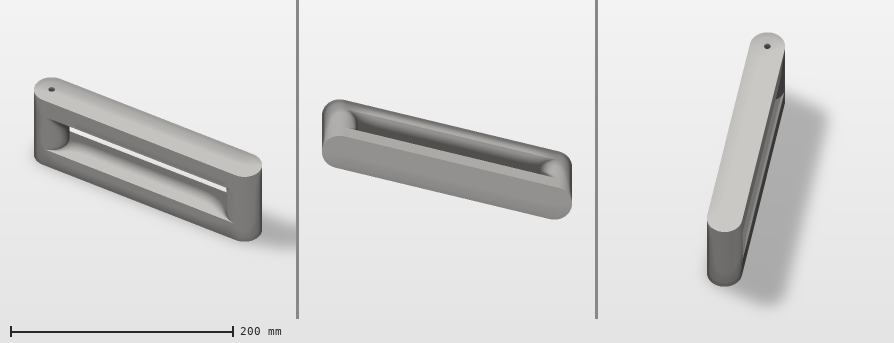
import cadquery as cq

length = 232.0
width = 32.0
height = 80.0

bar_thickness = 20.0
hole_diameter = 6.0
hole_depth = bar_thickness

post_spacing = length - width


def post(x):
    """Full-height round post."""
    return (
        cq.Workplane("XY")
        .circle(width / 2)
        .extrude(height)
        .translate((x, 0, 0))
    )


def bar(bottom):
    """Flat bar between the post axes, flush with the post sides."""
    return (
        cq.Workplane("XY")
        .workplane(offset=bottom)
        .rect(post_spacing, width)
        .extrude(bar_thickness)
    )


def post_hole():
    """Blind hole in the top face, on the axis of the post at the -X end."""
    return (
        cq.Workplane("XY")
        .workplane(offset=height - hole_depth)
        .center(-post_spacing / 2, 0)
        .circle(hole_diameter / 2)
        .extrude(hole_depth)
    )


frame = bar(0).union(bar(height - bar_thickness))
for post_x in (-post_spacing / 2, post_spacing / 2):
    frame = frame.union(post(post_x))

result = frame.cut(post_hole())